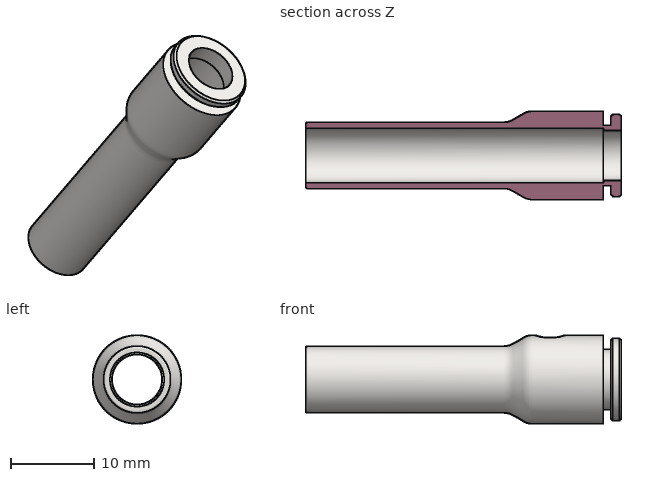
import cadquery as cq
import math

total_length = 37.88
tube_radius = 4.0
body_diameter = 10.65
body_radius = body_diameter / 2
tube_bore_radius = 3.25
collar_bore_radius = 3.0

tube_end_round = 0.25

shoulder_start = 23.83
shoulder_angle = math.radians(30)
concave_radius = 2.0
convex_radius = 2.0

body_end = 35.72
neck_radius = 3.65
collar_start = 36.6
collar_radius = 4.95
collar_chamfer = 0.25

flat_center_x = 29.32
flat_radius = 1.78
flat_depth = 0.25


def shoulder_points():
    """Start, middle and end points of the two shoulder arcs, as (x, radius)."""

    def concave(angle):
        return (
            shoulder_start + concave_radius * math.sin(angle),
            tube_radius + concave_radius * (1 - math.cos(angle)),
        )

    cone_start = concave(shoulder_angle)
    cone_end_radius = body_radius - convex_radius * (1 - math.cos(shoulder_angle))
    cone_length = (cone_end_radius - cone_start[1]) / math.tan(shoulder_angle)
    shoulder_end = cone_start[0] + cone_length + convex_radius * math.sin(shoulder_angle)

    def convex(angle):
        return (
            shoulder_end - convex_radius * math.sin(angle),
            body_radius - convex_radius * (1 - math.cos(angle)),
        )

    concave_arc = (concave(shoulder_angle / 2), cone_start)
    convex_arc = (convex(shoulder_angle / 2), convex(0))
    return concave_arc, convex(shoulder_angle), convex_arc


def make_turned_body():
    """Revolve the half profile around the X axis."""
    concave_arc, cone_end, convex_arc = shoulder_points()
    round_inset = tube_end_round * (1 - math.sqrt(0.5))
    profile = (
        cq.Workplane("XY")
        .moveTo(0, tube_bore_radius)
        .lineTo(0, tube_radius - tube_end_round)
        .threePointArc((round_inset, tube_radius - round_inset), (tube_end_round, tube_radius))
        .lineTo(shoulder_start, tube_radius)
        .threePointArc(*concave_arc)
        .lineTo(*cone_end)
        .threePointArc(*convex_arc)
        .lineTo(body_end, body_radius)
        .lineTo(body_end, neck_radius)
        .lineTo(collar_start, neck_radius)
        .lineTo(collar_start, collar_radius - collar_chamfer)
        .lineTo(collar_start + collar_chamfer, collar_radius)
        .lineTo(total_length - collar_chamfer, collar_radius)
        .lineTo(total_length, collar_radius - collar_chamfer)
        .lineTo(total_length, collar_bore_radius)
        .lineTo(body_end, collar_bore_radius)
        .lineTo(body_end, tube_bore_radius)
        .close()
    )
    return profile.revolve(360, (0, 0, 0), (1, 0, 0))


def make_flat_cutter():
    """Vertical disc that sinks the round flat into the top of the body."""
    return (
        cq.Workplane("XY", origin=(flat_center_x, 0, body_radius - flat_depth))
        .circle(flat_radius)
        .extrude(2 * flat_depth)
    )


result = make_turned_body().cut(make_flat_cutter())